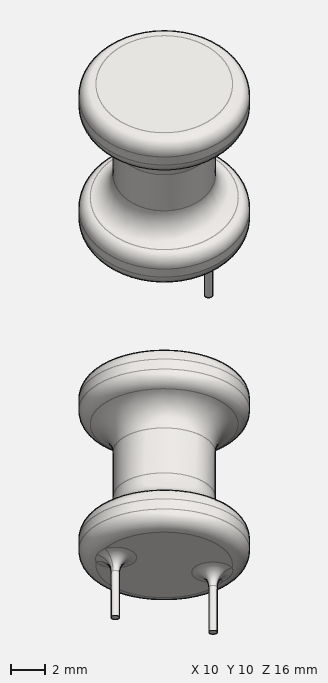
import cadquery as cq
import math

total_height = 16.0
flange_diameter = 10.0
lead_length = total_height / 4

flange_radius = flange_diameter / 2
edge_round = flange_diameter / 10
neck_radius = 3 * edge_round
neck_height = 3 * edge_round
neck_round = 2 * edge_round
face_radius = flange_radius - edge_round

lead_radius = edge_round / 4
lead_offset = neck_radius
flare_radius = edge_round
sink_depth = edge_round

mid_height = (lead_length + total_height) / 2
neck_end = neck_height / 2
neck_center_radius = neck_radius + neck_round
center_distance = edge_round + neck_round
center_rise = math.sqrt(center_distance**2 - (neck_center_radius - face_radius) ** 2)
tangent_angle = math.atan2(center_rise, face_radius - neck_center_radius)
rim_center = neck_end + center_rise


def arc_point(center, radius, angle):
    return center[0] + radius * math.cos(angle), center[1] + radius * math.sin(angle)


def make_half_spool():
    """Upper half of the spool, from its mid plane at Z = 0 to its end face."""
    half_height = (total_height - lead_length) / 2
    top_center = (face_radius, half_height - edge_round)
    lower_center = (face_radius, rim_center)
    neck_center = (neck_center_radius, neck_end)
    tangent_point = arc_point(neck_center, neck_round, tangent_angle)
    profile = (
        cq.Workplane("XZ")
        .lineTo(neck_radius, 0)
        .lineTo(neck_radius, neck_end)
        .threePointArc(arc_point(neck_center, neck_round, (math.pi + tangent_angle) / 2), tangent_point)
        .threePointArc(arc_point(lower_center, edge_round, tangent_angle / 2 - math.pi / 2),
                       (flange_radius, rim_center))
        .lineTo(*arc_point(top_center, edge_round, 0))
        .threePointArc(arc_point(top_center, edge_round, math.pi / 4), (face_radius, half_height))
        .lineTo(0, half_height)
        .close()
    )
    return profile.revolve(360, (0, 0, 0), (0, 1, 0))


def make_spool():
    upper = make_half_spool()
    return upper.union(upper.mirror("XY")).translate((0, 0, mid_height))


def make_lead(x):
    """Round lead that enters the spool, placed at the given X."""
    return cq.Workplane("XY").center(x, 0).circle(lead_radius).extrude(lead_length + sink_depth)


result = make_spool()
for side in (-1, 1):
    result = result.union(make_lead(side * lead_offset))

root_reach = lead_radius + edge_round / 10
for side in (-1, 1):
    x = side * lead_offset
    root_edges = cq.selectors.BoxSelector(
        (x - root_reach, -root_reach, lead_length - root_reach),
        (x + root_reach, root_reach, lead_length + root_reach),
        boundingbox=True,
    )
    result = result.edges(root_edges).fillet(flare_radius)